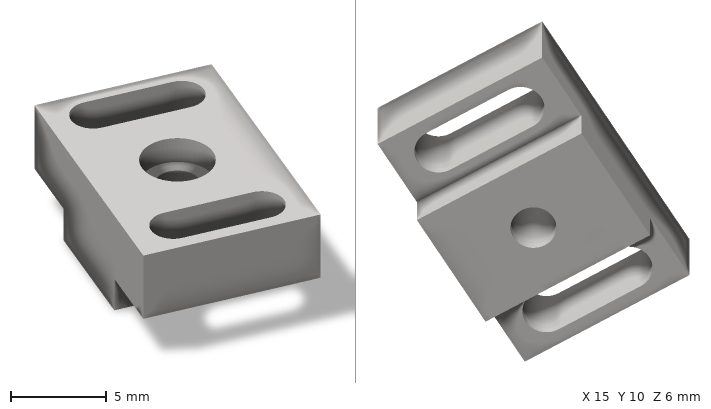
import cadquery as cq

length = 15.0
depth = 10.0
total_height = 6.0
tongue_height = 2.0
plate_height = total_height - tongue_height

tongue_width = 7.0

slot_length = 7.5
slot_width = 2.5
slot_offset = 5.5

hole_diameter = 2.4
counterbore_diameter = 4.0
counterbore_depth = 1.5


def make_body():
    """Plate with its tongue; the tongue underside lies at Z = 0."""
    plate = (
        cq.Workplane("XY")
        .workplane(offset=tongue_height)
        .rect(length, depth)
        .extrude(plate_height)
    )
    tongue = cq.Workplane("XY").rect(tongue_width, depth).extrude(tongue_height)
    return plate.union(tongue)


def cut_slots(body):
    """Cut the two slots, which clear the tongue on either side."""
    slots = (
        cq.Workplane("XY")
        .pushPoints([(-slot_offset, 0), (slot_offset, 0)])
        .slot2D(slot_length, slot_width, 90)
        .extrude(total_height)
    )
    return body.cut(slots)


def cut_center_hole(body):
    """Cut the through hole, counterbored from the top."""
    return (
        body.faces(">Z")
        .workplane(origin=(0, 0, total_height))
        .cboreHole(hole_diameter, counterbore_diameter, counterbore_depth)
    )


result = cut_center_hole(cut_slots(make_body()))